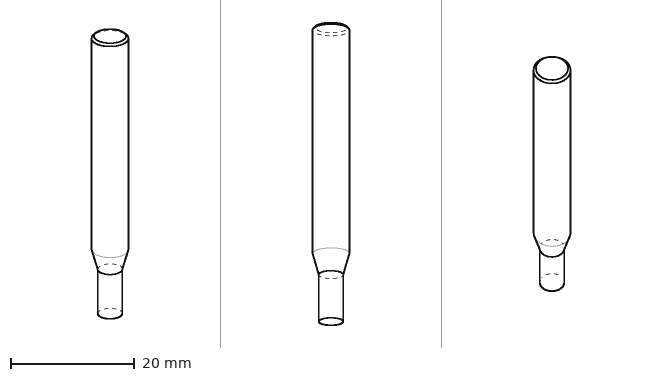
import cadquery as cq

TOTAL_LENGTH = 50.0
SHANK_DIAMETER = 6.0
TIP_DIAMETER = 4.0
TIP_LENGTH = 8.0
TAPER_LENGTH = 3.6
END_CHAMFER = 0.4

shank_radius = SHANK_DIAMETER / 2
tip_radius = TIP_DIAMETER / 2
taper_top = TIP_LENGTH + TAPER_LENGTH


def make_cutting_tip():
    """Plain cylinder at the lower end, standing on the XY plane."""
    return cq.Workplane("XY").circle(tip_radius).extrude(TIP_LENGTH)


def make_shank():
    """Tapered lower end, straight shank and chamfered top, revolved about Z."""
    return (
        cq.Workplane("XZ")
        .moveTo(0, TIP_LENGTH)
        .lineTo(tip_radius, TIP_LENGTH)
        .lineTo(shank_radius, taper_top)
        .lineTo(shank_radius, TOTAL_LENGTH)
        .lineTo(0, TOTAL_LENGTH)
        .close()
        .revolve(360, (0, 0, 0), (0, 1, 0))
        .faces(">Z")
        .chamfer(END_CHAMFER)
    )


cutting_tip = make_cutting_tip()
shank = make_shank()

result = cq.Compound.makeCompound([cutting_tip.val(), shank.val()])